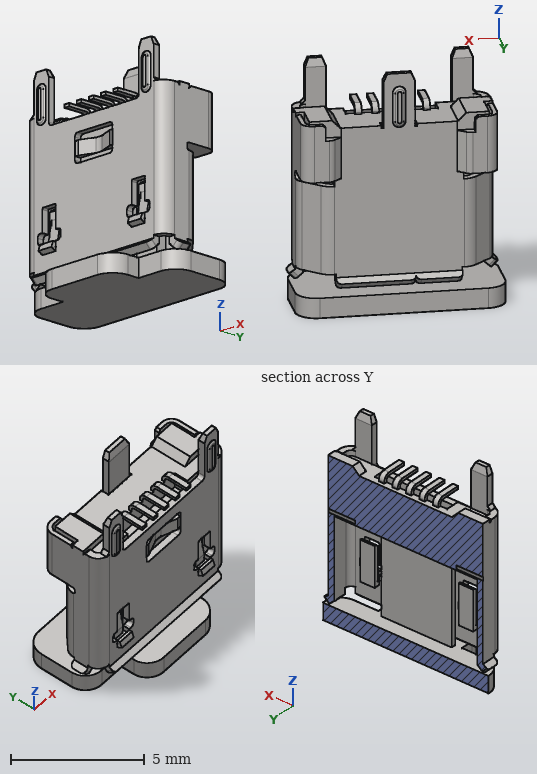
import cadquery as cq
import math


PLATE_LENGTH = 8.0
PLATE_HEIGHT = 0.8
PLATE_FRONT = 0.37
PLATE_BACK = 3.45
PLATE_TONGUE_WIDTH = 4.04
PLATE_TONGUE_FRONT = -1.0
PLATE_RADIUS = 0.8

SHEET = 0.3
SHELL_HALF = 3.745
SHELL_BACK = 2.47
CORNER_RADIUS = 0.55
SHELL_BOTTOM = 1.345
RELIEF_BOTTOM = 4.85
RELIEF_TOP = 5.16
RELIEF_FRONT = 1.22
RELIEF_RADIUS = 0.12
SLANT_START = 1.55
SLANT_END_X = 2.745
SLANT_END_RADIUS = 0.7
WING_BACK = 2.8
WING_RADIUS = 0.46
WING_INNER_X = 2.6
WING_ROOT_X = 2.2
WING_END_RADIUS = 0.35
WING_EDGE_X = 2.85
WING_STEP_TOP = 6.8
RIM_TOP = 7.41
CORE_HALF = 2.45

DECK = 7.16
BLOCK_TOP = 7.47
BLOCK_OUTER = 3.42
BLOCK_INNER = 2.24
BLOCK_FRONT = 0.825
BLOCK_BACK = 2.45
EAR_BACK = 1.34
DIP_SIZE = 0.1
GROOVE_DEPTH = 0.1
GROOVE_RIM = 0.27
GROOVE_TAPER = 13

TOP = 9.2
PRONG_TIP = 0.32
TIP_NARROWING = 0.14
TIP_THINNING = 0.1
FLAT_HALF = SHELL_HALF - CORNER_RADIUS
FRONT_PRONG_WIDTH = 0.8
FRONT_PRONG_X = FLAT_HALF - FRONT_PRONG_WIDTH / 2
BACK_PRONG_WIDTH = 1.2
PRONG_GUSSET = 0.15
BEAD_WIDTH = 0.5
BEAD_BOTTOM = 7.06
BEAD_TOP = 8.68
BEAD_STEP = 0.06
BEAD_STEP_DRAFT = 55
BEAD_RIDGE = 0.03
BEAD_RIDGE_DRAFT = 72
PRONG_SLOT_WIDTH = 1.36
PRONG_SLOT_FRONT = 2.13
PRONG_SLOT_DEPTH = 0.1

NOTCH_FLOOR = 6.935
NOTCH_HALF = FLAT_HALF - FRONT_PRONG_WIDTH
NOTCH_RADIUS = 0.15

PIN_COUNT = 5
PIN_PITCH = 0.65
PIN_WIDTH = 0.26
PIN_THICKNESS = 0.14
PIN_TOP = 7.53
PIN_FRONT = -0.13
PIN_BEND_OUTER = 0.3
PIN_POCKET_HALF = 1.755
PIN_POCKET_BACK = 0.92
PIN_POCKET_FLOOR = 6.4
PIN_BACK = PIN_POCKET_BACK + PIN_THICKNESS

WINDOW_WIDTH = 2.0
WINDOW_BOTTOM = 5.11
WINDOW_TOP = 6.33
WINDOW_RADIUS = 0.15
STRIP_BOTTOM = 5.42
STRIP_TOP = 6.03
STRIP_BEND_X = 0.84
STRIP_VALLEY_X = 0.16
STRIP_SAG = 0.02
STRIP_SETBACK = 0.03

LATCH_X = 2.38
LATCH_WIDTH = 0.7
LATCH_BOTTOM = 1.92
LATCH_TOP = 3.79
LATCH_RADIUS = 0.06
LATCH_BACKING_FRONT = 0.38
LATCH_BACKING_BACK = 0.58
LATCH_BACKING_BEVEL = 0.1
LEAF_WIDTH = 0.5
LEAF_TOP = 3.36
LEAF_BEND = 2.47
LEAF_FRONT = 0.22
FOOT_TOP = 2.3
FOOT_ROOT = 2.1
FOOT_SHOULDER = -0.13
FOOT_NOSE = -0.22
FOOT_NOSE_Z = 2.04
SIDE_HOLE_WIDTH = 1.21
SIDE_HOLE_BOTTOM = 2.34
SIDE_HOLE_TOP = 2.8
SIDE_HOLE_RADIUS = 0.15

LIP_BEND_Z = 1.22
LIP_REACH = 0.245
LIP_NOSE_Z = 1.04
LIP_TIP_Z = 0.8
LIP_CORNER = 0.18
FRONT_LIP_WIDTH = 2 * FLAT_HALF
BACK_LIP_HALF = 2.4
BACK_LIP_SEAM_X = -0.62
SIDE_LIP_FRONT = 0.585
SIDE_LIP_BACK = 1.26

BAR_WIDTH = 3.4
TONGUE_BAR_FRONT = 1.63
TONGUE_BAR_BACK = 2.11
CONTACT_BAR_FRONT = PLATE_FRONT
CONTACT_BAR_BACK = 0.59
BAR_FLARE = 0.09

EDGE_REACH = 0.01


def box(x0, x1, y0, y1, z0, z1):
    return cq.Workplane("XY").box(x1 - x0, y1 - y0, z1 - z0, centered=False).translate((x0, y0, z0))


def both_sides(body):
    return body.union(body.mirror("YZ"))


def sealing_plate():
    half = PLATE_LENGTH / 2
    body = box(-half, half, PLATE_FRONT, PLATE_BACK, 0, PLATE_HEIGHT)
    body = body.edges("|Z").fillet(PLATE_RADIUS)
    tongue_half = PLATE_TONGUE_WIDTH / 2
    tongue_back = PLATE_FRONT + PLATE_RADIUS
    tongue = box(-tongue_half, tongue_half, PLATE_TONGUE_FRONT, tongue_back, 0, PLATE_HEIGHT)
    return body.union(tongue.edges("|Z and <Y").fillet(PLATE_RADIUS))


def prism(points, bottom, top):
    return cq.Workplane("XY").workplane(offset=bottom).polyline(points).close().extrude(top - bottom)


def round_corners(body, x, y, radius):
    """Round the vertical edges at (x, y) and (-x, y)."""
    for side in (x, -x):
        spot = cq.selectors.BoxSelector(
            (side - EDGE_REACH, y - EDGE_REACH, 0),
            (side + EDGE_REACH, y + EDGE_REACH, TOP),
        )
        body = body.edges("|Z").edges(spot).fillet(radius)
    return body


def inset_prism(body, inset, bottom, top, widening=0):
    """Prism of the body's plan outline, moved inwards; it widens upwards by an angle in degrees."""
    outline = body.faces("<Z").wires().toPending().offset2D(-inset)
    inner = outline.extrude(top - bottom, combine=False, taper=-widening)
    return inner.translate((0, 0, bottom - inner.val().BoundingBox().zmin))


def extrude_along_x(points, x0, x1):
    """Solid with the given (Y, Z) outline between two X positions."""
    return cq.Workplane("YZ").workplane(offset=x0).polyline(points).close().extrude(x1 - x0)


def lower_prism(bottom, top):
    """Lower shell outline: full width at the front, slanted towards a narrower back."""
    points = [
        (-SHELL_HALF, 0),
        (SHELL_HALF, 0),
        (SHELL_HALF, SLANT_START),
        (SLANT_END_X, SHELL_BACK),
        (-SLANT_END_X, SHELL_BACK),
        (-SHELL_HALF, SLANT_START),
    ]
    body = prism(points, bottom, top)
    body = round_corners(body, SHELL_HALF, 0, CORNER_RADIUS)
    body = round_corners(body, SHELL_HALF, SLANT_START, CORNER_RADIUS)
    return round_corners(body, SLANT_END_X, SHELL_BACK, SLANT_END_RADIUS)


def upper_prism(bottom, top):
    """Upper shell outline: straight sides with wings that wrap round and step in to the back wall."""
    points = [
        (-SHELL_HALF, 0),
        (SHELL_HALF, 0),
        (SHELL_HALF, WING_BACK),
        (WING_INNER_X, WING_BACK),
        (WING_ROOT_X, SHELL_BACK),
        (-WING_ROOT_X, SHELL_BACK),
        (-WING_INNER_X, WING_BACK),
        (-SHELL_HALF, WING_BACK),
    ]
    body = prism(points, bottom, top)
    body = round_corners(body, SHELL_HALF, 0, CORNER_RADIUS)
    body = round_corners(body, SHELL_HALF, WING_BACK, WING_RADIUS)
    return round_corners(body, WING_INNER_X, WING_BACK, WING_END_RADIUS)


def lower_shell():
    """Hollow lower shell, closed above by the housing core behind the side relief slots."""
    body = lower_prism(SHELL_BOTTOM, RELIEF_TOP)
    body = body.cut(inset_prism(body, SHEET, SHELL_BOTTOM, RELIEF_BOTTOM))
    relief = box(CORE_HALF, SHELL_HALF, RELIEF_FRONT, WING_BACK, RELIEF_BOTTOM, RELIEF_TOP)
    relief = relief.edges("|X and <Y").fillet(RELIEF_RADIUS)
    return body.cut(both_sides(relief))


def side_rim():
    """Shell edge standing above the deck round each side, solid behind the ears."""
    outer = upper_prism(DECK, RIM_TOP)
    front = outer.cut(inset_prism(outer, SHEET, DECK, RIM_TOP))
    front = front.intersect(box(FLAT_HALF, SHELL_HALF, 0, EAR_BACK, DECK, RIM_TOP))
    rear = box(WING_EDGE_X, SHELL_HALF, EAR_BACK, WING_BACK, DECK, RIM_TOP)
    rear = rear.edges("|Y and >Z and <X").chamfer(DIP_SIZE)
    return both_sides(front.union(outer.intersect(rear)))


def deck_groove():
    """Shallow groove with a sloped outer wall between the rim and each housing block."""
    floor = DECK - GROOVE_DEPTH
    inner = inset_prism(upper_prism(DECK, RIM_TOP), GROOVE_RIM, floor, RIM_TOP, GROOVE_TAPER)
    bounds = box(WING_EDGE_X, SHELL_HALF, EAR_BACK, WING_BACK, floor, RIM_TOP)
    block = box(0, BLOCK_OUTER, 0, BLOCK_BACK, floor, RIM_TOP)
    return both_sides(inner.intersect(bounds).cut(block))


def wing_step_relief():
    """Space above the step between each wing and the back wall."""
    return both_sides(box(WING_ROOT_X, WING_EDGE_X, BLOCK_BACK, WING_BACK, WING_STEP_TOP, BLOCK_TOP))


def corner_blocks():
    """Raised housing blocks with a sloped inner side and an ear that reaches the outside of the shell."""
    rise = BLOCK_TOP - DECK
    outline = [
        (BLOCK_INNER, DECK),
        (BLOCK_INNER + rise, BLOCK_TOP),
        (BLOCK_OUTER, BLOCK_TOP),
        (BLOCK_OUTER, DECK),
    ]
    block = cq.Workplane("XZ").polyline(outline).close().extrude(BLOCK_FRONT - BLOCK_BACK)
    block = block.translate((0, BLOCK_FRONT, 0))
    ear = box(BLOCK_OUTER, SHELL_HALF, BLOCK_FRONT, EAR_BACK, DECK, BLOCK_TOP)
    return both_sides(block.union(ear))


def ear_dips():
    """Small V cuts in the rim next to the ears."""
    dips = None
    for edge, outward in ((BLOCK_FRONT, -1), (EAR_BACK, 1)):
        outline = [
            (edge, RIM_TOP - DIP_SIZE),
            (edge, RIM_TOP),
            (edge + outward * DIP_SIZE, RIM_TOP),
        ]
        dip = extrude_along_x(outline, BLOCK_OUTER, SHELL_HALF)
        dips = dip if dips is None else dips.union(dip)
    return both_sides(dips)


def pressed_bead(x):
    """Stiffening bead in two sloped steps on the front face of a prong that spans Y = 0 to SHEET."""
    length = BEAD_TOP - BEAD_BOTTOM
    narrowing = 2 * BEAD_STEP * math.tan(math.radians(BEAD_STEP_DRAFT))
    base = cq.Workplane("XZ").slot2D(length, BEAD_WIDTH, 90).extrude(BEAD_STEP, taper=BEAD_STEP_DRAFT)
    ridge = cq.Workplane("XZ").workplane(offset=BEAD_STEP)
    ridge = ridge.slot2D(length - narrowing, BEAD_WIDTH - narrowing, 90)
    ridge = ridge.extrude(BEAD_RIDGE, taper=BEAD_RIDGE_DRAFT)
    return base.union(ridge).translate((x, 0, (BEAD_BOTTOM + BEAD_TOP) / 2))


def solder_prong(x, width):
    """Flat prong with a tapered tip that is thinned from the inner side."""
    half = width / 2
    shoulder = TOP - PRONG_TIP
    outline = [
        (x - half, NOTCH_FLOOR),
        (x - half, shoulder),
        (x - half + TIP_NARROWING, TOP),
        (x + half - TIP_NARROWING, TOP),
        (x + half, shoulder),
        (x + half, NOTCH_FLOOR),
    ]
    prong = cq.Workplane("XZ").polyline(outline).close().extrude(-SHEET)
    bevel = [(SHEET, shoulder), (SHEET, TOP), (SHEET - TIP_THINNING, TOP)]
    prong = prong.cut(extrude_along_x(bevel, x - half, x + half))
    return prong.union(pressed_bead(x))


def front_prongs():
    gusset = [(FLAT_HALF, RIM_TOP), (FLAT_HALF + PRONG_GUSSET, RIM_TOP), (FLAT_HALF, RIM_TOP + PRONG_GUSSET)]
    root = cq.Workplane("XZ").polyline(gusset).close().extrude(-SHEET)
    return both_sides(solder_prong(FRONT_PRONG_X, FRONT_PRONG_WIDTH).union(root))


def back_prong():
    return solder_prong(0, BACK_PRONG_WIDTH).mirror("XZ").translate((0, SHELL_BACK, 0))


def back_prong_slot():
    half = PRONG_SLOT_WIDTH / 2
    return box(-half, half, PRONG_SLOT_FRONT, SHELL_BACK, DECK - PRONG_SLOT_DEPTH, DECK)


def front_notch():
    notch = box(-NOTCH_HALF, NOTCH_HALF, 0, SHEET, NOTCH_FLOOR, BLOCK_TOP)
    return notch.edges("|Y and <Z").fillet(NOTCH_RADIUS)


def pin_pocket():
    return box(-PIN_POCKET_HALF, PIN_POCKET_HALF, SHEET, PIN_POCKET_BACK, PIN_POCKET_FLOOR, DECK)


def contact_pin(x):
    """Strip that rises behind the pocket and bends over it towards the front."""
    underside = PIN_TOP - PIN_THICKNESS
    inner_bend = PIN_BEND_OUTER - PIN_THICKNESS
    turn = 1 - math.sqrt(0.5)
    profile = (
        cq.Workplane("YZ")
        .workplane(offset=x - PIN_WIDTH / 2)
        .moveTo(PIN_FRONT, PIN_TOP)
        .lineTo(PIN_BACK - PIN_BEND_OUTER, PIN_TOP)
        .threePointArc(
            (PIN_BACK - PIN_BEND_OUTER * turn, PIN_TOP - PIN_BEND_OUTER * turn),
            (PIN_BACK, PIN_TOP - PIN_BEND_OUTER),
        )
        .lineTo(PIN_BACK, PIN_POCKET_FLOOR)
        .lineTo(PIN_POCKET_BACK, PIN_POCKET_FLOOR)
        .lineTo(PIN_POCKET_BACK, underside - inner_bend)
        .threePointArc(
            (PIN_POCKET_BACK - inner_bend * turn, underside - inner_bend * turn),
            (PIN_POCKET_BACK - inner_bend, underside),
        )
        .lineTo(PIN_FRONT, underside)
        .close()
    )
    return profile.extrude(PIN_WIDTH)


def window():
    half = WINDOW_WIDTH / 2
    opening = box(-half, half, 0, SHEET, WINDOW_BOTTOM, WINDOW_TOP)
    return opening.edges("|Y").fillet(WINDOW_RADIUS)


def pressed_strip():
    """Strip across the window, bent inwards to a shallow V that touches the housing."""
    half = WINDOW_WIDTH / 2
    outline = (
        cq.Workplane("XY")
        .workplane(offset=STRIP_BOTTOM)
        .moveTo(-half, STRIP_SETBACK)
        .lineTo(-STRIP_BEND_X, STRIP_SETBACK)
        .lineTo(-STRIP_VALLEY_X, SHEET - STRIP_SAG)
        .threePointArc((0, SHEET), (STRIP_VALLEY_X, SHEET - STRIP_SAG))
        .lineTo(STRIP_BEND_X, STRIP_SETBACK)
        .lineTo(half, STRIP_SETBACK)
        .lineTo(half, 2 * SHEET)
        .lineTo(-half, 2 * SHEET)
        .close()
    )
    return outline.extrude(STRIP_TOP - STRIP_BOTTOM)


def latch_opening():
    half = LATCH_WIDTH / 2
    slot = box(LATCH_X - half, LATCH_X + half, 0, SHEET, LATCH_BOTTOM, LATCH_TOP)
    slot = slot.edges("|Y and >Z").fillet(LATCH_RADIUS)
    hole_half = SIDE_HOLE_WIDTH / 2
    hole = box(LATCH_X - hole_half, LATCH_X + hole_half, 0, SHEET, SIDE_HOLE_BOTTOM, SIDE_HOLE_TOP)
    return both_sides(slot.union(hole.edges("|Y").fillet(SIDE_HOLE_RADIUS)))


def spring_latches():
    """Backing strip with a ramped leaf and a foot that stands out of the shell."""
    half = LATCH_WIDTH / 2
    backing = [
        (LATCH_BACKING_FRONT, LATCH_BOTTOM),
        (LATCH_BACKING_FRONT, LATCH_TOP - LATCH_BACKING_BEVEL),
        (LATCH_BACKING_FRONT + LATCH_BACKING_BEVEL, LATCH_TOP),
        (LATCH_BACKING_BACK, LATCH_TOP),
        (LATCH_BACKING_BACK, LATCH_BOTTOM),
    ]
    leaf = [
        (LATCH_BACKING_FRONT, LEAF_TOP),
        (LATCH_BACKING_BACK, LEAF_TOP),
        (LATCH_BACKING_BACK, FOOT_ROOT),
        (LEAF_FRONT, FOOT_ROOT),
        (LEAF_FRONT, LEAF_BEND),
    ]
    foot = [
        (LATCH_BACKING_FRONT, LATCH_BOTTOM),
        (LATCH_BACKING_FRONT, FOOT_ROOT),
        (0, FOOT_ROOT),
        (0, FOOT_TOP),
        (FOOT_SHOULDER, FOOT_TOP),
        (FOOT_NOSE, FOOT_NOSE_Z),
        (0, LATCH_BOTTOM),
    ]
    latch = extrude_along_x(backing, LATCH_X - half, LATCH_X + half)
    latch = latch.union(extrude_along_x(leaf, LATCH_X - LEAF_WIDTH / 2, LATCH_X + LEAF_WIDTH / 2))
    latch = latch.union(extrude_along_x(foot, LATCH_X - half, LATCH_X + half))
    return both_sides(latch)


def flared_lip(start, end):
    """Lip of a wall whose outer face is at Y = 0, bent out towards -Y, between two X positions."""
    slope = LIP_NOSE_Z - LIP_TIP_Z
    outline = [
        (0, SHELL_BOTTOM),
        (0, LIP_BEND_Z),
        (-LIP_REACH, LIP_NOSE_Z),
        (slope - LIP_REACH, LIP_TIP_Z),
        (SHEET, LIP_BEND_Z - SHEET / 2),
        (SHEET, SHELL_BOTTOM),
    ]
    lip = extrude_along_x(outline, start, end)
    tip = cq.selectors.BoxSelector(
        (start - SHEET, -LIP_REACH, LIP_TIP_Z),
        (end + SHEET, slope - LIP_REACH, LIP_NOSE_Z),
    )
    return lip.edges(tip).edges("not |X").fillet(LIP_CORNER)


def mouth_lips():
    half = FRONT_LIP_WIDTH / 2
    lips = flared_lip(-half, half)
    for start, end in ((-BACK_LIP_HALF, BACK_LIP_SEAM_X), (BACK_LIP_SEAM_X, BACK_LIP_HALF)):
        back = flared_lip(start, end).mirror("XZ").translate((0, SHELL_BACK, 0))
        lips = lips.union(back)
    side = flared_lip(SIDE_LIP_FRONT, SIDE_LIP_BACK)
    side = side.rotate((0, 0, 0), (0, 0, 1), 90).translate((SHELL_HALF, 0, 0))
    return lips.union(both_sides(side))


def contact_bar():
    half = BAR_WIDTH / 2
    return box(-half, half, CONTACT_BAR_FRONT, CONTACT_BAR_BACK, PLATE_HEIGHT, RELIEF_BOTTOM)


def tongue_bar():
    """Insulator tongue from the housing to the plate, flared at its foot."""
    half = BAR_WIDTH / 2
    front = TONGUE_BAR_FRONT
    back = TONGUE_BAR_BACK
    outline = [
        (front - BAR_FLARE, PLATE_HEIGHT),
        (front, PLATE_HEIGHT + BAR_FLARE),
        (front, RELIEF_BOTTOM),
        (back, RELIEF_BOTTOM),
        (back, PLATE_HEIGHT + BAR_FLARE),
        (back + BAR_FLARE, PLATE_HEIGHT),
    ]
    return extrude_along_x(outline, -half, half)


body = lower_shell().union(upper_prism(RELIEF_TOP, DECK))
body = body.union(side_rim()).cut(deck_groove()).cut(wing_step_relief())
body = body.union(corner_blocks()).cut(ear_dips())
body = body.cut(back_prong_slot()).union(back_prong())
body = body.union(front_prongs()).cut(front_notch()).cut(pin_pocket())
for number in range(PIN_COUNT):
    body = body.union(contact_pin((number - (PIN_COUNT - 1) / 2) * PIN_PITCH))
body = body.cut(window()).union(pressed_strip())
body = body.cut(latch_opening()).union(spring_latches())
body = body.union(mouth_lips())
body = body.union(tongue_bar())
body = body.union(contact_bar())
result = body.union(sealing_plate())